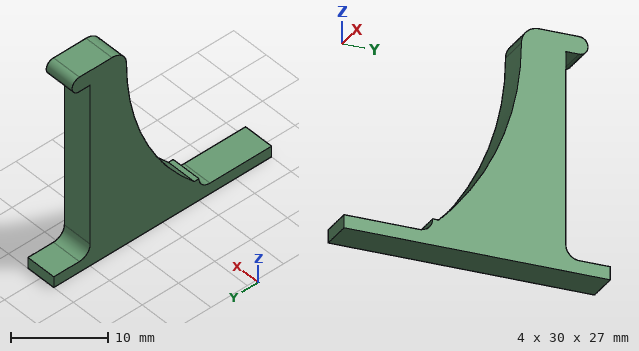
import cadquery as cq
import math

width = 4.0
base_length = 30.0
height = 27.0
base_thickness = 1.5

back_y = 10.0
top_depth = 5.0
lip_overhang = 2.5
lip_thickness = 2.0
nose_radius = 2.0

foot_radius = 1.5
toe_y = -5.0
ledge_length = 0.65

half_length = base_length / 2
lip_radius = lip_thickness / 2
lip_center_y = back_y + lip_overhang - lip_radius
lip_bottom = height - lip_thickness
front_y = back_y - top_depth
ledge_z = base_thickness + foot_radius
ledge_y = toe_y + ledge_length
diagonal = math.sqrt(0.5)

curve_top = height - nose_radius
curve_run = front_y - ledge_y
curve_drop = curve_top - ledge_z
curve_radius = (curve_run**2 + curve_drop**2) / (2 * curve_run)
curve_mid_z = (curve_top + ledge_z) / 2
curve_mid_y = front_y - curve_radius + math.sqrt(curve_radius**2 - (curve_drop / 2) ** 2)


def arc_mid(center_y, center_z, radius, side_y, side_z):
    """Middle of a quarter arc; the side signs select its quadrant."""
    return (center_y + side_y * radius * diagonal, center_z + side_z * radius * diagonal)


result = (
    cq.Workplane("YZ")
    .moveTo(-half_length, 0)
    .lineTo(half_length, 0)
    .lineTo(half_length, base_thickness)
    .lineTo(back_y + foot_radius, base_thickness)
    .threePointArc(
        arc_mid(back_y + foot_radius, ledge_z, foot_radius, -1, -1),
        (back_y, ledge_z),
    )
    .lineTo(back_y, lip_bottom)
    .lineTo(lip_center_y, lip_bottom)
    .threePointArc((back_y + lip_overhang, height - lip_radius), (lip_center_y, height))
    .lineTo(front_y + nose_radius, height)
    .threePointArc(
        arc_mid(front_y + nose_radius, curve_top, nose_radius, -1, 1),
        (front_y, curve_top),
    )
    .threePointArc((curve_mid_y, curve_mid_z), (ledge_y, ledge_z))
    .lineTo(toe_y, ledge_z)
    .threePointArc(
        arc_mid(toe_y - foot_radius, ledge_z, foot_radius, 1, -1),
        (toe_y - foot_radius, base_thickness),
    )
    .lineTo(-half_length, base_thickness)
    .close()
    .extrude(width / 2, both=True)
)